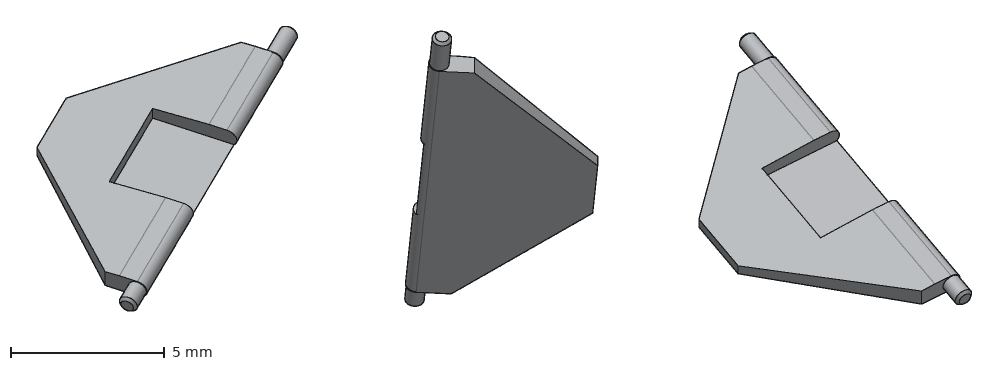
import cadquery as cq
import math

thickness = 0.7
leg_length = 7.78
corner_cut = 1.67
hinge_out = 6.65
barrel_radius = thickness / 2
half_length = leg_length / math.sqrt(2)

slope_start_out = 6.01
slope_end_out = corner_cut / math.sqrt(2)
thin_edge_height = 0.41

recess_half_width = 1.75
recess_start_out = 4.0
recess_floor = 0.11

pin_radius = 0.32
pin_chamfer = 0.1
long_pin_tip = 6.83
short_pin_tip = 6.33

hinge_plane = cq.Plane(origin=(0, 0, 0), xDir=(1, 1, 0), normal=(1, -1, 0))


def make_tapered_body():
    """Extruded cross-section with a sloped top and a rounded hinge barrel."""
    return (
        cq.Workplane(hinge_plane)
        .moveTo(slope_end_out, 0)
        .lineTo(hinge_out, 0)
        .threePointArc((hinge_out + barrel_radius, barrel_radius), (hinge_out, thickness))
        .lineTo(slope_start_out, thickness)
        .lineTo(slope_end_out, thin_edge_height)
        .close()
        .extrude(half_length, both=True)
    )


def make_leg_corner():
    """Square block that keeps only the material inside the two outer leg edges."""
    block_side = leg_length + 2 * thickness
    return cq.Workplane("XY").box(block_side, block_side, thickness, centered=False)


def make_recess():
    """Cutter that leaves a level floor across the middle of the hinge side."""
    return (
        cq.Workplane(hinge_plane)
        .moveTo(recess_start_out, recess_floor)
        .lineTo(hinge_out + thickness, recess_floor)
        .lineTo(hinge_out + thickness, thickness)
        .lineTo(recess_start_out, thickness)
        .close()
        .extrude(recess_half_width, both=True)
    )


def make_pin(tip, side):
    """Chamfered pin from the middle of one barrel; side is +1 or -1 along the hinge."""
    root = (half_length + recess_half_width) / 2
    end_face = ">(1, -1, 0)" if side > 0 else "<(1, -1, 0)"
    return (
        cq.Workplane(hinge_plane)
        .workplane(offset=side * root)
        .center(hinge_out, barrel_radius)
        .circle(pin_radius)
        .extrude(side * (tip - root))
        .faces(end_face)
        .chamfer(pin_chamfer)
    )


body = make_tapered_body().intersect(make_leg_corner()).cut(make_recess())
result = body.union(make_pin(long_pin_tip, -1)).union(make_pin(short_pin_tip, 1))